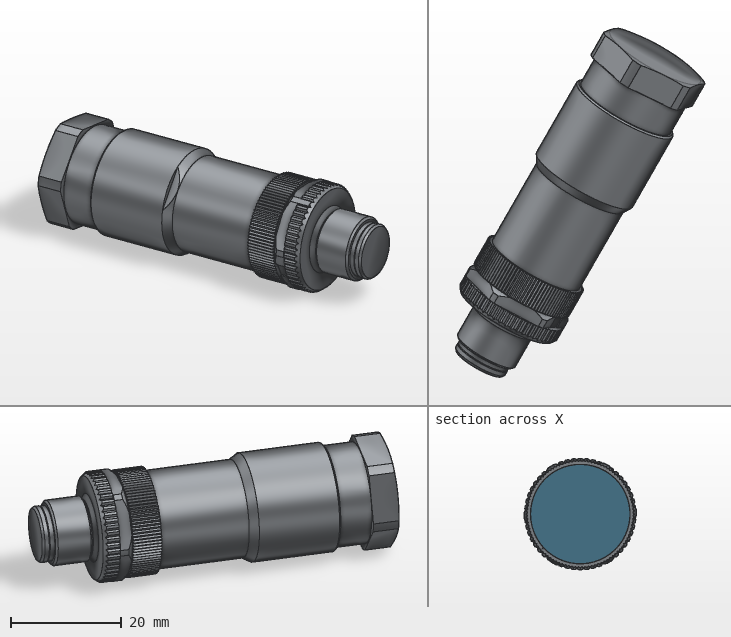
import cadquery as cq
import math


CAP_END = 5.05
NECK_END = 10.95
SLEEVE_END = 26.25
CONE_END = 27.9
KNURL_START = 44.4
KNURL_END = 49.85
COLLAR_END = 52.3
RING_END = 55.35
NOSE_END = 56.1
THREAD_START = 56.25
THREAD_END = 63.2
RELIEF_END = 64.05
TOTAL_LENGTH = 65.5

NECK_DIA = 18.6
SLEEVE_DIA = 20.0
BARREL_DIA = 18.0
NOSE_BASE_DIA = 12.6
THREAD_DIA = 12.0
THREAD_ROOT_DIA = 10.6
RELIEF_DIA = 10.15
TIP_DIA = 10.3
TIP_END_DIA = 9.6
SLEEVE_CHAMFER = 0.3
THREAD_START_CHAMFER_LENGTH = 0.4
THREAD_END_CHAMFER = 0.4
TIP_CHAMFER_LENGTH = 0.45
TIP_STEP_LENGTH = 0.2

HEX_STEP = 60

CAP_ACROSS_FLATS = 19.0
CAP_CORNER_DIA = 20.95
CAP_FACE_DIA = 18.8
CAP_CHAMFER_LENGTH = 0.25
CAP_CORNER_ANGLE = -9.8

CONE_FLAT_DISTANCE = 9.05
CONE_FLAT_ANGLE = 141.5

KNURL_DIA = 19.65
KNURL_TEETH = 100
KNURL_DEPTH = 0.3
KNURL_CHAMFER = 0.2

COLLAR_ACROSS_FLATS = 18.15
COLLAR_CORNER_DIA = 20.3
COLLAR_CONE_DIA = 18.6
COLLAR_CORNER_ANGLE = -1.8
RECESS_WIDTH = 3.2
RECESS_DEPTH = 0.25
RECESS_ANGLE = COLLAR_CORNER_ANGLE + 3.5 * HEX_STEP

RING_DIA = 20.2
RING_TEETH = 52
RING_TOOTH_DEPTH = 0.25
RING_LAND_SHARE = 0.4
RING_CHAMFER_LENGTH = 0.8
RING_CHAMFER_DEPTH = 0.6
RIB_ANGLE = COLLAR_CORNER_ANGLE + 2 * HEX_STEP
RIB_ROOT_DIA = 17.0


def revolve(profile):
    """Turn an (x, radius) outline around the X axis, closing it on the axis."""
    outline = [(profile[0][0], 0)] + profile + [(profile[-1][0], 0)]
    return cq.Workplane("XY").polyline(outline).close().revolve(360, (0, 0, 0), (1, 0, 0))


def prism(points, start, end):
    """Extrude a closed (y, z) outline from start to end along X."""
    return cq.Workplane("YZ", origin=(start, 0, 0)).polyline(points).close().extrude(end - start)


def polar(radius, angle):
    """Point (y, z) at a radius and angle around the X axis."""
    return (radius * math.cos(math.radians(angle)), radius * math.sin(math.radians(angle)))


def hex_prism(across_flats, corner_angle, start, end):
    """Sharp hexagon along X with one corner at corner_angle."""
    apex_radius = across_flats / 2 / math.cos(math.radians(HEX_STEP / 2))
    corners = [polar(apex_radius, corner_angle + HEX_STEP * side) for side in range(6)]
    return prism(corners, start, end)


def toothed_prism(diameter, teeth, depth, land_share, start, end):
    """Prism with V grooves; land_share is the part of each pitch left at full diameter."""
    pitch = 360 / teeth
    half_land = land_share * pitch / 2
    points = []
    for tooth in range(teeth):
        center = tooth * pitch
        if half_land > 0:
            points.append(polar(diameter / 2, center - half_land))
        points.append(polar(diameter / 2, center + half_land))
        points.append(polar(diameter / 2 - depth, center + pitch / 2))
    return prism(points, start, end)


def radial_block(start, end, inner, outer, width, angle):
    """Block along X reaching from the inner to the outer distance at the given angle."""
    block = cq.Workplane("XY").box(end - start, outer - inner, width, centered=(False, False, True))
    return block.translate((start, inner, 0)).rotate((0, 0, 0), (1, 0, 0), angle)


def make_core():
    """All the plain turned sections from the neck to the tip."""
    return revolve([
        (CAP_END, NECK_DIA / 2),
        (NECK_END, NECK_DIA / 2),
        (NECK_END, SLEEVE_DIA / 2 - SLEEVE_CHAMFER),
        (NECK_END + SLEEVE_CHAMFER, SLEEVE_DIA / 2),
        (SLEEVE_END, SLEEVE_DIA / 2),
        (CONE_END, BARREL_DIA / 2),
        (RING_END, BARREL_DIA / 2),
        (RING_END, NOSE_BASE_DIA / 2),
        (NOSE_END, THREAD_ROOT_DIA / 2),
        (THREAD_START, THREAD_ROOT_DIA / 2),
        (THREAD_START + THREAD_START_CHAMFER_LENGTH, THREAD_DIA / 2),
        (THREAD_END - THREAD_END_CHAMFER, THREAD_DIA / 2),
        (THREAD_END, THREAD_DIA / 2 - THREAD_END_CHAMFER),
        (THREAD_END, RELIEF_DIA / 2),
        (RELIEF_END, RELIEF_DIA / 2),
        (RELIEF_END + TIP_STEP_LENGTH, TIP_DIA / 2),
        (TOTAL_LENGTH - TIP_CHAMFER_LENGTH, TIP_DIA / 2),
        (TOTAL_LENGTH, TIP_END_DIA / 2),
    ])


def make_cone_flat():
    """Cutter for the single flat on the cone."""
    return radial_block(SLEEVE_END, CONE_END, CONE_FLAT_DISTANCE, SLEEVE_DIA, SLEEVE_DIA, CONE_FLAT_ANGLE)


def make_cap():
    """Hexagon with its corners turned round and its outer face chamfered."""
    envelope = revolve([
        (0, CAP_FACE_DIA / 2),
        (CAP_CHAMFER_LENGTH, CAP_CORNER_DIA / 2),
        (CAP_END, CAP_CORNER_DIA / 2),
    ])
    return hex_prism(CAP_ACROSS_FLATS, CAP_CORNER_ANGLE, 0, CAP_END).intersect(envelope)


def make_knurl():
    """Fine straight knurl, chamfered next to the collar."""
    envelope = revolve([
        (KNURL_START, KNURL_DIA / 2),
        (KNURL_END - KNURL_CHAMFER, KNURL_DIA / 2),
        (KNURL_END, KNURL_DIA / 2 - KNURL_CHAMFER),
    ])
    teeth = toothed_prism(KNURL_DIA, KNURL_TEETH, KNURL_DEPTH, 0, KNURL_START, KNURL_END)
    return teeth.intersect(envelope)


def make_collar():
    """Hexagon with round corners that run out in a cone next to the knurl."""
    cone_length = (COLLAR_CORNER_DIA - COLLAR_CONE_DIA) / 2
    envelope = revolve([
        (KNURL_END, COLLAR_CONE_DIA / 2),
        (KNURL_END + cone_length, COLLAR_CORNER_DIA / 2),
        (COLLAR_END, COLLAR_CORNER_DIA / 2),
    ])
    return hex_prism(COLLAR_ACROSS_FLATS, COLLAR_CORNER_ANGLE, KNURL_END, COLLAR_END).intersect(envelope)


def make_collar_recess():
    """Cutter for the shallow recess across one flat of the collar."""
    floor = COLLAR_ACROSS_FLATS / 2 - RECESS_DEPTH
    return radial_block(KNURL_END, COLLAR_END, floor, COLLAR_CORNER_DIA, RECESS_WIDTH, RECESS_ANGLE)


def make_ring():
    """Toothed ring with a smooth rib that continues one collar corner."""
    chamfer_start = RING_END - RING_CHAMFER_LENGTH
    envelope = revolve([
        (COLLAR_END, RING_DIA / 2),
        (chamfer_start, RING_DIA / 2),
        (RING_END, RING_DIA / 2 - RING_CHAMFER_DEPTH),
    ])
    teeth = toothed_prism(RING_DIA, RING_TEETH, RING_TOOTH_DEPTH, RING_LAND_SHARE, COLLAR_END, RING_END)
    return teeth.intersect(envelope).union(make_rib(chamfer_start))


def make_rib(end):
    """Rib as wide as the rounded corner of the collar."""
    corner_half_angle = HEX_STEP / 2 - math.degrees(math.acos(COLLAR_ACROSS_FLATS / COLLAR_CORNER_DIA))
    width = COLLAR_CORNER_DIA * math.sin(math.radians(corner_half_angle))
    block = radial_block(COLLAR_END, end, RIB_ROOT_DIA / 2, COLLAR_CORNER_DIA, width, RIB_ANGLE)
    return block.intersect(revolve([(COLLAR_END, COLLAR_CORNER_DIA / 2), (end, COLLAR_CORNER_DIA / 2)]))


result = make_core().cut(make_cone_flat())
for section in (make_cap(), make_knurl(), make_collar(), make_ring()):
    result = result.union(section)
result = result.cut(make_collar_recess())